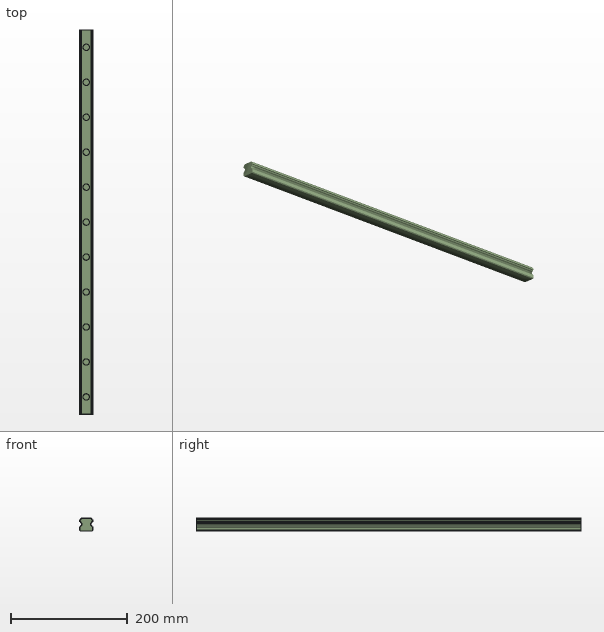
import cadquery as cq
import math

rail_length = 660.0
rail_width = 23.0
rail_height = 22.0
half_width = rail_width / 2

base_bevel = 1.5
base_side_top = 6.65
shoulder_half_width = 8.4
shoulder_top = base_side_top + half_width - shoulder_half_width

neck_half_width = 7.9
neck_slope_height = 0.6
neck_bottom = shoulder_top + neck_slope_height
neck_top = 13.1

head_side_bottom = 16.6
head_side_top = 18.6
groove_leg = 2.0
groove_depth = 0.7
groove_inner_half_width = half_width - groove_leg
top_half_width = 8.3

hole_diameter = 11.0
hole_depth = 0.1
hole_pitch = 60.0
hole_count = 11


def groove_bottom(side_end, outward):
    """Deepest point of the groove between a head side's end and its inner edge.

    `outward` is +1 for the groove above the side and -1 for the one below.
    """
    mid_chord = groove_leg / 2
    diagonal_shift = groove_depth / math.sqrt(2)
    return half_width - mid_chord - diagonal_shift, side_end + outward * (mid_chord - diagonal_shift)


def half_rail():
    """The +X half of the rail, extruded along Y and centred on the origin."""
    lower_groove_end = (groove_inner_half_width, head_side_bottom - groove_leg)
    upper_groove_end = (groove_inner_half_width, head_side_top + groove_leg)
    section = (
        cq.Workplane("XZ")
        .lineTo(half_width - base_bevel, 0)
        .lineTo(half_width, base_bevel)
        .lineTo(half_width, base_side_top)
        .lineTo(shoulder_half_width, shoulder_top)
        .lineTo(neck_half_width, neck_bottom)
        .lineTo(neck_half_width, neck_top)
        .lineTo(*lower_groove_end)
        .threePointArc(groove_bottom(head_side_bottom, -1), (half_width, head_side_bottom))
        .lineTo(half_width, head_side_top)
        .threePointArc(groove_bottom(head_side_top, 1), upper_groove_end)
        .lineTo(top_half_width, rail_height)
        .lineTo(0, rail_height)
        .close()
    )
    return section.extrude(rail_length / 2, both=True)


def rail_body():
    """The whole rail, symmetric about the YZ plane."""
    half = half_rail()
    return half.union(half.mirror("YZ")).clean()


def cut_holes(body):
    """Cut the row of round recesses into the top face."""
    return (
        body.faces(">Z").workplane(origin=(0, 0, rail_height))
        .rarray(1, hole_pitch, 1, hole_count)
        .circle(hole_diameter / 2)
        .cutBlind(-hole_depth)
    )


result = cut_holes(rail_body())